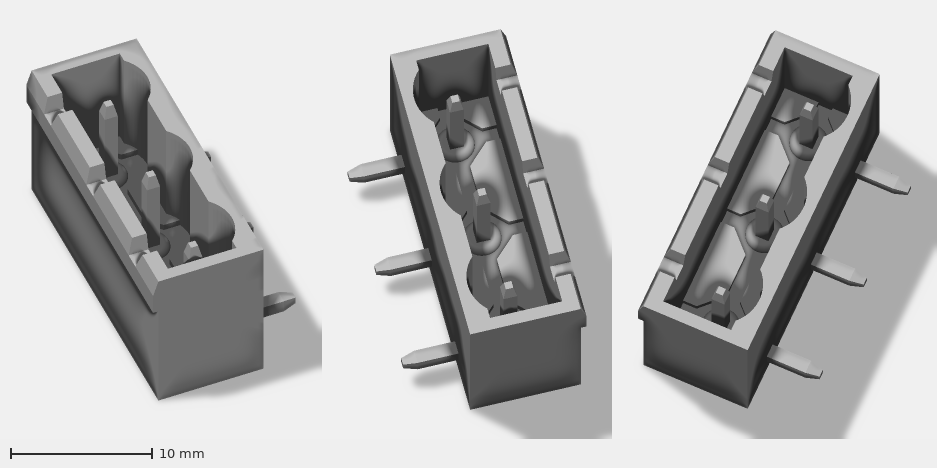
import cadquery as cq
import math


LENGTH = 22.85
PIN_COUNT = 3
PIN_PITCH = LENGTH / PIN_COUNT
PIN_POSITIONS = [(i - (PIN_COUNT - 1) / 2) * PIN_PITCH for i in range(PIN_COUNT)]

PIN_WIDTH = 1.0
PIN_TIP_WIDTH = 0.55
PIN_TIP_LENGTH = 1.0
PIN_TAIL_REACH = 4.0
PIN_TAIL_HEIGHT = 2.01
PIN_TOP = 10.52

HEIGHT = 12.0
REAR_Y = 3.8
DEPTH = 8.5
LIP_FRONT_Y = REAR_Y - DEPTH
LIP_OVERHANG = 0.41
LIP_HEIGHT = 3.0
LIP_BEVEL_HEIGHT = 1.3
BODY_FRONT_Y = LIP_FRONT_Y + LIP_OVERHANG

END_WALL = 0.91
CAVITY_REAR_Y = 2.1
CAVITY_FRONT_Y = -3.18
BAY_RADIUS = 3.0
FLOOR_Z = 3.65

CHANNEL_DEPTH = 0.5
CHANNEL_HALF_WIDTH = 0.55
REAR_CHANNEL_HALF_WIDTH = 1.17
JUNCTION_REACH = 2.13
CHANNEL_FLOOR_Z = FLOOR_Z - CHANNEL_DEPTH

COLLAR_DIAMETER = 2.8
COLLAR_TOP_DIAMETER = 1.83
COLLAR_ROUND = (COLLAR_DIAMETER - COLLAR_TOP_DIAMETER) / 2
COLLAR_HEIGHT = COLLAR_ROUND

NOTCH_TOP_WIDTH = 1.85
NOTCH_BOTTOM_WIDTH = 1.21
NOTCH_DEPTH = LIP_BEVEL_HEIGHT


def box_between(x0, x1, y0, y1, z0, z1):
    """Box given by its limits along each axis."""
    return cq.Workplane("XY").box(x1 - x0, y1 - y0, z1 - z0, centered=False).translate((x0, y0, z0))


def pointed_bar(length):
    """Square bar that rises from the origin along Z and ends in a blunt point."""
    shank_length = length - PIN_TIP_LENGTH
    taper = math.degrees(math.atan((PIN_WIDTH - PIN_TIP_WIDTH) / 2 / PIN_TIP_LENGTH))
    shank = cq.Workplane("XY").rect(PIN_WIDTH, PIN_WIDTH).extrude(shank_length)
    tip = (
        cq.Workplane("XY", origin=(0, 0, shank_length))
        .rect(PIN_WIDTH, PIN_WIDTH)
        .extrude(PIN_TIP_LENGTH, taper=taper)
    )
    return shank.union(tip)


def make_pin(x):
    """L-shaped pin: a contact leg upward and a solder tail to the rear."""
    half_width = PIN_WIDTH / 2
    leg_bottom = PIN_TAIL_HEIGHT - half_width
    leg = pointed_bar(PIN_TOP - leg_bottom).translate((0, 0, leg_bottom))
    tail = (
        pointed_bar(REAR_Y + PIN_TAIL_REACH + half_width)
        .rotate((0, 0, 0), (1, 0, 0), -90)
        .translate((0, -half_width, PIN_TAIL_HEIGHT))
    )
    return leg.union(tail).translate((x, 0, 0))


def housing_block():
    """Solid block with a bevelled lip along the top of its front."""
    profile = [
        (REAR_Y, 0),
        (REAR_Y, HEIGHT),
        (BODY_FRONT_Y, HEIGHT),
        (LIP_FRONT_Y, HEIGHT - LIP_BEVEL_HEIGHT),
        (LIP_FRONT_Y, HEIGHT - LIP_HEIGHT),
        (BODY_FRONT_Y, HEIGHT - LIP_HEIGHT),
        (BODY_FRONT_Y, 0),
    ]
    return cq.Workplane("YZ").polyline(profile).close().extrude(LENGTH / 2, both=True)


def cavity(bottom_z):
    """Space inside the walls above the given height: a box with a round bay behind each pin."""
    half_length = LENGTH / 2 - END_WALL
    space = box_between(-half_length, half_length, CAVITY_FRONT_Y, CAVITY_REAR_Y, bottom_z, HEIGHT)
    for x in PIN_POSITIONS:
        bay = cq.Workplane("XY", origin=(x, 0, bottom_z)).circle(BAY_RADIUS).extrude(HEIGHT - bottom_z)
        space = space.union(bay)
    between_end_walls = box_between(
        -half_length, half_length, CAVITY_FRONT_Y, REAR_Y, bottom_z, HEIGHT
    )
    return space.intersect(between_end_walls)


def floor_channels():
    """Channel along the row, with a slanted junction and two branches at each pin, cut off at the walls."""
    channels = box_between(
        -LENGTH / 2, LENGTH / 2, -CHANNEL_HALF_WIDTH, CHANNEL_HALF_WIDTH, CHANNEL_FLOOR_Z, FLOOR_Z
    )
    rear_slant_y = CHANNEL_HALF_WIDTH + JUNCTION_REACH - REAR_CHANNEL_HALF_WIDTH
    right_side = [
        (CHANNEL_HALF_WIDTH, CAVITY_FRONT_Y),
        (CHANNEL_HALF_WIDTH, -JUNCTION_REACH),
        (JUNCTION_REACH, -CHANNEL_HALF_WIDTH),
        (JUNCTION_REACH, CHANNEL_HALF_WIDTH),
        (REAR_CHANNEL_HALF_WIDTH, rear_slant_y),
        (REAR_CHANNEL_HALF_WIDTH, REAR_Y),
    ]
    left_side = [(-x, y) for x, y in reversed(right_side)]
    for x in PIN_POSITIONS:
        junction = (
            cq.Workplane("XY", origin=(x, 0, CHANNEL_FLOOR_Z))
            .polyline(right_side + left_side)
            .close()
            .extrude(CHANNEL_DEPTH)
        )
        channels = channels.union(junction)
    return channels.intersect(cavity(CHANNEL_FLOOR_Z))


def collar(x):
    """Domed ring that stands on the channel floor; its rounded rim is a quarter circle."""
    outer_radius = COLLAR_DIAMETER / 2
    top_radius = COLLAR_TOP_DIAMETER / 2
    round_offset = COLLAR_ROUND * math.sqrt(0.5)
    return (
        cq.Workplane("XZ")
        .lineTo(outer_radius, 0)
        .threePointArc((top_radius + round_offset, round_offset), (top_radius, COLLAR_HEIGHT))
        .lineTo(0, COLLAR_HEIGHT)
        .close()
        .revolve(360, (0, 0), (0, 1))
        .translate((x, 0, CHANNEL_FLOOR_Z))
    )


def front_notch(x):
    """Tapered notch across the front wall, wider at the top."""
    bottom_z = HEIGHT - NOTCH_DEPTH
    outline = [
        (x - NOTCH_TOP_WIDTH / 2, HEIGHT),
        (x + NOTCH_TOP_WIDTH / 2, HEIGHT),
        (x + NOTCH_BOTTOM_WIDTH / 2, bottom_z),
        (x - NOTCH_BOTTOM_WIDTH / 2, bottom_z),
    ]
    return (
        cq.Workplane("XZ", origin=(0, CAVITY_FRONT_Y, 0))
        .polyline(outline)
        .close()
        .extrude(CAVITY_FRONT_Y - LIP_FRONT_Y)
    )


def make_housing(pins):
    """Header housing with a matching passage for each pin."""
    body = housing_block().cut(cavity(FLOOR_Z)).cut(floor_channels())
    for x in PIN_POSITIONS:
        body = body.union(collar(x)).cut(front_notch(x))
    for pin in pins:
        body = body.cut(pin)
    return body


pins = [make_pin(x) for x in PIN_POSITIONS]
housing = make_housing(pins)

result = cq.Compound.makeCompound([housing.val(), *[pin.val() for pin in pins]])